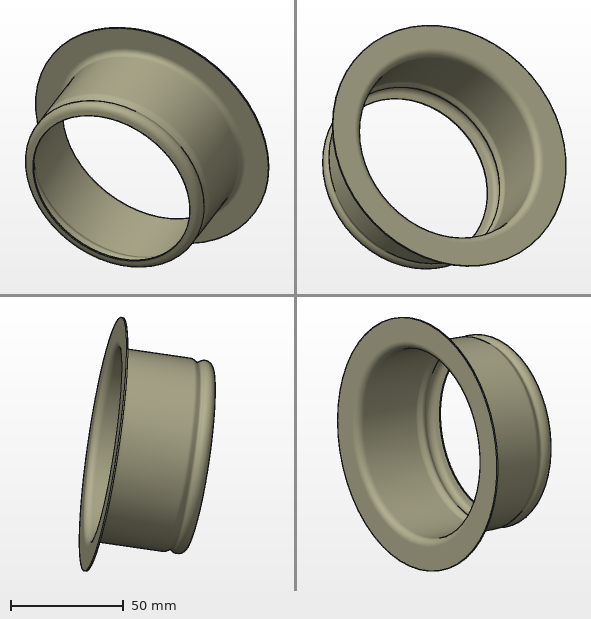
import cadquery as cq
import math

flange_radius = 57.0
total_length = 43.7
sheet_thickness = 0.7
tube_radius = 43.5
opening_radius = 38.3

flange_bend_radius = 2.7
shoulder_radius = 2.7
groove_radius = 1.1
bead_radius = 3.4

groove_entry_angle = math.radians(30)
groove_exit_angle = math.radians(45)
lip_angle = math.radians(80)

groove_rise = (groove_radius + bead_radius) * (1 - math.cos(groove_exit_angle))
bend_drop = (shoulder_radius + groove_radius) * (1 - math.cos(groove_entry_angle))
cone_length = (groove_rise - bend_drop) / math.sin(groove_entry_angle)

bead_end_radius = tube_radius - bead_radius * (1 - math.cos(lip_angle))
lip_tip_radius = opening_radius + sheet_thickness * math.cos(lip_angle)
lip_length = (bead_end_radius - lip_tip_radius) / math.sin(lip_angle)

groove_entry_sine = math.sin(groove_entry_angle)
groove_exit_sine = math.sin(groove_exit_angle)
formed_length = (
    (shoulder_radius + groove_radius) * groove_entry_sine
    + cone_length * math.cos(groove_entry_angle)
    + (groove_radius + bead_radius) * groove_exit_sine
    + bead_radius * math.sin(lip_angle)
    + lip_length * math.cos(lip_angle)
)
tube_length = total_length - sheet_thickness - flange_bend_radius - formed_length
flange_width = flange_radius - tube_radius - flange_bend_radius

stretches = [
    ("line", flange_width),
    ("bend", flange_bend_radius, math.pi / 2),
    ("line", tube_length),
    ("bend", shoulder_radius, -groove_entry_angle),
    ("line", cone_length),
    ("bend", groove_radius, groove_entry_angle + groove_exit_angle),
    ("bend", bead_radius, -groove_exit_angle - lip_angle),
    ("line", lip_length),
]


def trace_face(depth):
    """Return the edges of the sheet face lying `depth` below the outer face."""
    heading = -math.pi / 2
    radius = flange_radius
    axial = sheet_thickness - depth
    start = (radius, -axial)
    edges = []
    for kind, size, *turn in stretches:
        if kind == "line":
            radius += size * math.sin(heading)
            axial += size * math.cos(heading)
            end = (radius, -axial)
            edges.append(cq.Edge.makeLine(cq.Vector(*start), cq.Vector(*end)))
        else:
            side = math.copysign(1, turn[0])
            bend = size + side * depth
            center_radius = radius + side * bend * math.cos(heading)
            center_axial = axial - side * bend * math.sin(heading)

            def point_at(angle):
                return (
                    center_radius - side * bend * math.cos(angle),
                    -(center_axial + side * bend * math.sin(angle)),
                )

            middle = point_at(heading + turn[0] / 2)
            heading += turn[0]
            end = point_at(heading)
            edges.append(cq.Edge.makeThreePointArc(cq.Vector(*start), cq.Vector(*middle), cq.Vector(*end)))
            radius, axial = end[0], -end[1]
        start = end
    return edges


def sheet_section():
    """Join the outer and inner faces of the sheet at the flange rim and the lip tip."""
    outer = trace_face(0)
    inner = trace_face(sheet_thickness)
    rim = cq.Edge.makeLine(outer[0].startPoint(), inner[0].startPoint())
    tip = cq.Edge.makeLine(outer[-1].endPoint(), inner[-1].endPoint())
    return cq.Wire.assembleEdges(outer + [tip] + inner[::-1] + [rim])


result = cq.Workplane(
    cq.Solid.revolve(sheet_section(), [], 360, cq.Vector(0, 0, 0), cq.Vector(0, 1, 0))
)